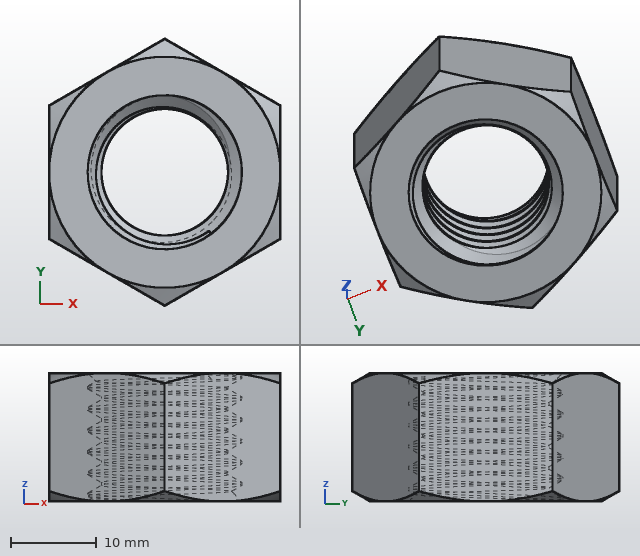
import cadquery as cq
import math

across_flats = 27.0
height = 15.0
thread_major_diameter = 18.0
pitch = 2.5
corner_chamfer_angle = 30.0
countersink_angle = 45.0
flank_angle = 30.0

ridge_end_angle = -53.0
ridge_end_height = 15.43
runout_clearance = 0.005

triangle_height = pitch * math.cos(math.radians(flank_angle))
thread_depth = 0.75 * triangle_height
root_flat = pitch / 8
major_radius = thread_major_diameter / 2
minor_radius = major_radius - thread_depth

overrun = 0.1
cutter_inner_radius = minor_radius - overrun


def hexagon_blank():
    """Hexagonal prism with two flats facing +X and -X, standing on Z = 0."""
    half_side_angle = 30
    across_corners = across_flats / math.cos(math.radians(half_side_angle))
    blank = cq.Workplane("XY").polygon(6, across_corners).extrude(height)
    return blank.rotate((0, 0, 0), (0, 0, 1), half_side_angle)


def revolved(profile):
    """Solid of revolution about Z from (radius, height) points, its seam facing -X."""
    solid = cq.Workplane("XZ").polyline(profile).close().revolve(360, (0, 0), (0, 1))
    return solid.rotate((0, 0, 0), (0, 0, 1), 180)


def corner_chamfer_envelope():
    """Envelope whose two cones trim the hexagon corners."""
    face_radius = across_flats / 2
    outer_radius = across_flats
    drop = (outer_radius - face_radius) * math.tan(math.radians(corner_chamfer_angle))
    return revolved([
        (0, 0),
        (face_radius, 0),
        (outer_radius, drop),
        (outer_radius, height - drop),
        (face_radius, height),
        (0, height),
    ])


def minor_bore():
    """Through bore at the minor diameter, which forms the ridge crests."""
    return cq.Workplane("XY").circle(minor_radius).extrude(height)


def helical_cutter(profile, turns, start_height, start_angle):
    """Right-hand helical sweep of a closed outline of (radius, height) points."""
    helix = cq.Wire.makeHelix(pitch, turns * pitch, (major_radius + minor_radius) / 2)
    cutter = cq.Workplane("XZ").polyline(profile).close().sweep(cq.Workplane(helix), isFrenet=True)
    cutter = cutter.rotate((0, 0, 0), (0, 0, 1), start_angle)
    return cutter.translate((0, 0, start_height))


def thread_groove():
    """Helical groove with a flat root, running past both end faces."""
    half_root = root_flat / 2
    flank_slope = math.tan(math.radians(flank_angle))
    half_mouth = half_root + (major_radius - cutter_inner_radius) * flank_slope
    profile = [
        (cutter_inner_radius, -half_mouth),
        (major_radius, -half_root),
        (major_radius, half_root),
        (cutter_inner_radius, half_mouth),
    ]
    turns_below = math.ceil((ridge_end_height + half_mouth) / pitch)
    turns_above = math.ceil((height - ridge_end_height + half_mouth) / pitch)
    start_height = ridge_end_height - turns_below * pitch
    return helical_cutter(profile, turns_below + turns_above, start_height, ridge_end_angle + 180)


def ridge_runout():
    """Clearance above the top groove turn, removing the ridge beyond its end."""
    outer_radius = major_radius + runout_clearance
    profile = [
        (cutter_inner_radius, 0),
        (outer_radius, 0),
        (outer_radius, pitch / 2),
        (cutter_inner_radius, pitch / 2),
    ]
    half_turn = 0.5
    return helical_cutter(profile, half_turn, ridge_end_height - pitch / 2, ridge_end_angle)


def top_countersink():
    """Cone opening the bore to the major diameter at the top face."""
    countersink_slope = math.tan(math.radians(countersink_angle))
    tip_radius = minor_radius - overrun
    mouth_radius = major_radius + overrun
    tip_height = height - (major_radius - tip_radius) * countersink_slope
    mouth_height = height + overrun * countersink_slope
    return revolved([
        (0, tip_height),
        (tip_radius, tip_height),
        (mouth_radius, mouth_height),
        (0, mouth_height),
    ])


result = hexagon_blank().intersect(corner_chamfer_envelope()).cut(minor_bore())
result = result.cut(thread_groove()).cut(ridge_runout())

countersink = top_countersink()
result = result.cut(countersink).cut(countersink.mirror("XY", (0, 0, height / 2)))